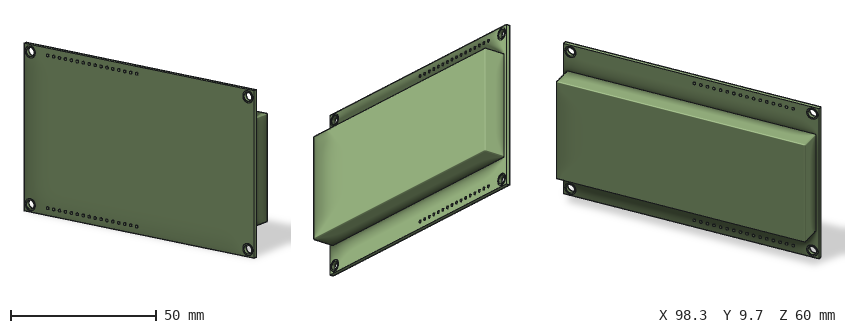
import cadquery as cq

BOARD_LENGTH = 98.3
BOARD_HEIGHT = 60.0
BOARD_THICKNESS = 1.5

TOTAL_DEPTH = 9.7
HOUSING_LENGTH = 95.8
HOUSING_HEIGHT = 38.9
HOUSING_DEPTH = TOTAL_DEPTH - BOARD_THICKNESS
HOUSING_EDGE_RADIUS = 0.5

RING_OUTER_DIAMETER = 4.3
RING_INNER_DIAMETER = 3.2
RING_EDGE_DISTANCE = 2.7
RING_X = BOARD_LENGTH / 2 - RING_EDGE_DISTANCE
RING_Z = BOARD_HEIGHT / 2 - RING_EDGE_DISTANCE
RING_CENTRES = [(x, z) for x in (-RING_X, RING_X) for z in (-RING_Z, RING_Z)]

PIN_HOLE_COUNT = 16
PIN_HOLE_DIAMETER = 1.0
PIN_ROW_LENGTH = 38.0
PIN_ROW_EDGE_DISTANCE = 10.0
PIN_PITCH = PIN_ROW_LENGTH / (PIN_HOLE_COUNT - 1)
PIN_ROW_START = -BOARD_LENGTH / 2 + PIN_ROW_EDGE_DISTANCE
PIN_HOLE_CENTRES = [
    (PIN_ROW_START + i * PIN_PITCH, z)
    for z in (-RING_Z, RING_Z)
    for i in range(PIN_HOLE_COUNT)
]


def plane_at(y):
    """Sketch plane at depth y, with local x, y, normal along X, Z, -Y."""
    return cq.Workplane("XZ", origin=(0, y, 0))


def make_board():
    """Flat board with seats for the rings and the two rows of pin holes."""
    board = plane_at(0).rect(BOARD_LENGTH, BOARD_HEIGHT).extrude(-BOARD_THICKNESS)
    ring_seats = plane_at(0).pushPoints(RING_CENTRES).circle(RING_OUTER_DIAMETER / 2)
    pin_holes = plane_at(0).pushPoints(PIN_HOLE_CENTRES).circle(PIN_HOLE_DIAMETER / 2)
    board = board.cut(ring_seats.extrude(-BOARD_THICKNESS))
    return board.cut(pin_holes.extrude(-BOARD_THICKNESS))


def make_housing():
    """Block on the back of the board, rounded on its back rim and four corners."""
    block = plane_at(BOARD_THICKNESS).rect(HOUSING_LENGTH, HOUSING_HEIGHT).extrude(-HOUSING_DEPTH)
    return block.edges("|Y or >Y").fillet(HOUSING_EDGE_RADIUS)


def make_ring(x, z):
    """Lining of one mounting hole, flush with both faces of the board."""
    ring = plane_at(0).center(x, z).circle(RING_OUTER_DIAMETER / 2).circle(RING_INNER_DIAMETER / 2)
    return ring.extrude(-BOARD_THICKNESS)


board = make_board()
housing = make_housing()
rings = [make_ring(x, z) for x, z in RING_CENTRES]

result = cq.Compound.makeCompound([board.val(), housing.val(), *[ring.val() for ring in rings]])